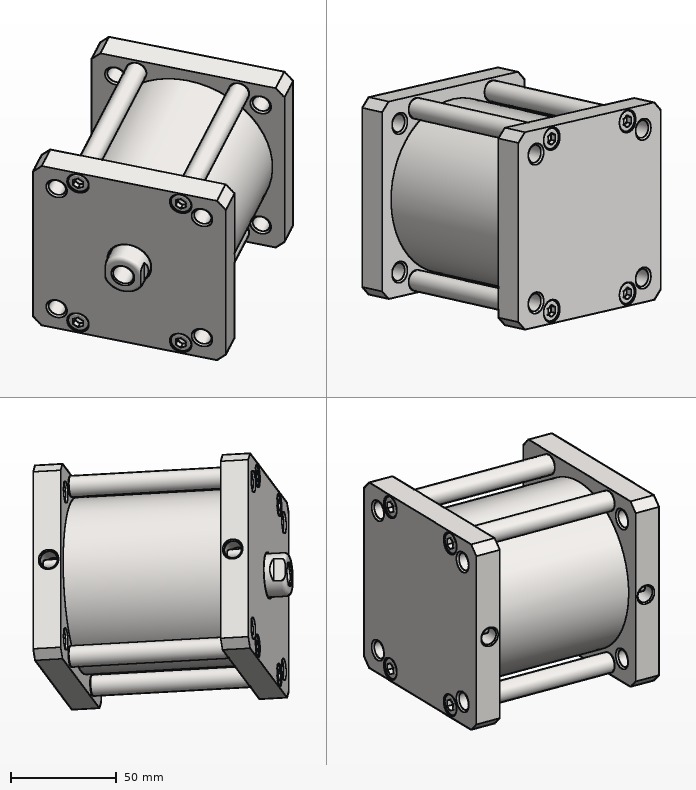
import cadquery as cq
import math

OVERALL_LENGTH = 114
ROD_PROTRUSION = 10.0
PLATE_SIZE = 96.0
PLATE_THICKNESS = 13.3
PLATE_CORNER_CHAMFER = 4.5
REAR_FACE = OVERALL_LENGTH - ROD_PROTRUSION
TUBE_START = PLATE_THICKNESS
TUBE_LENGTH = REAR_FACE - 2 * PLATE_THICKNESS
TUBE_END = TUBE_START + TUBE_LENGTH
MID_PLANE = REAR_FACE / 2

TUBE_DIAMETER = 84.0
TUBE_BORE = 80.0

MOUNTING_OFFSET = 36.1
MOUNTING_DIAMETER = 8.5
MOUNTING_CHAMFER = 0.9

TIE_OFFSET_X = 25.5
TIE_OFFSET_Z = 41.8
TIE_DIAMETER = 10.1
TIE_END_CHAMFER = 0.5
NECK_DIAMETER = 7.0
HEAD_DIAMETER = 10.0
HEAD_HEIGHT = 6.0
HEAD_FILLET = 0.7
HEAD_RECESS_DIAMETER = HEAD_DIAMETER
HEAD_RECESS_CHAMFER = 0.5
HEX_ACROSS_FLATS = 5.0
HEX_DEPTH = 3.0

PORT_DIAMETER = 8.3
PORT_MOUTH_DIAMETER = 9.7
PORT_DEPTH = 12.0
PORT_FROM_INNER_FACE = 5.8
PORT_PIN_DIAMETER = 5.0

ROD_DIAMETER = 20.6
ROD_END_FILLET = 2.0
ROD_FLATS_WIDTH = 17.5
ROD_FLATS_LENGTH = 5.8
ROD_HOLE_DIAMETER = 10.1
ROD_HOLE_DEPTH = 20.0
ROD_HOLE_FLOOR_DISH = 0.5
ROD_HOLE_CHAMFER = 0.7
ROD_RECESS_DIAMETER = 21.3
ROD_RECESS_DEPTH = 2.3
ROD_RECESS_CHAMFER = 0.3

DRILL_HALF_ANGLE = math.radians(59)
SOCKET_HALF_ANGLE = math.radians(60)

MOUNTING_POINTS = [(x * MOUNTING_OFFSET, z * MOUNTING_OFFSET) for x in (-1, 1) for z in (-1, 1)]
TIE_POINTS = [(x * TIE_OFFSET_X, z * TIE_OFFSET_Z) for x in (-1, 1) for z in (-1, 1)]


def cylinder_y(diameter, start, length, x=0, z=0):
    """Cylinder along +Y that begins at Y = start."""
    base = cq.Vector(x, start, z)
    return cq.Workplane(cq.Solid.makeCylinder(diameter / 2, length, base, cq.Vector(0, 1, 0)))


def cone_y(start_diameter, end_diameter, start, length, x=0, z=0):
    """Cone along +Y that begins at Y = start."""
    base = cq.Vector(x, start, z)
    return cq.Workplane(
        cq.Solid.makeCone(start_diameter / 2, end_diameter / 2, length, base, cq.Vector(0, 1, 0))
    )


def mirror_to_rear(body):
    """Mirror image of a body about the plane midway between the plates' outer faces."""
    return body.mirror("XZ", (0, MID_PLANE, 0))


def mounting_hole(x, z):
    """Through hole with a countersink at each plate face."""
    mouth = MOUNTING_DIAMETER + 2 * MOUNTING_CHAMFER
    inner_chamfer_start = PLATE_THICKNESS - MOUNTING_CHAMFER
    hole = cylinder_y(MOUNTING_DIAMETER, 0, PLATE_THICKNESS, x, z)
    hole = hole.union(cone_y(mouth, MOUNTING_DIAMETER, 0, MOUNTING_CHAMFER, x, z))
    return hole.union(cone_y(MOUNTING_DIAMETER, mouth, inner_chamfer_start, MOUNTING_CHAMFER, x, z))


def tie_rod_hole(x, z):
    """Neck hole with a chamfered recess for the socket head."""
    mouth = HEAD_RECESS_DIAMETER + 2 * HEAD_RECESS_CHAMFER
    hole = cylinder_y(NECK_DIAMETER, 0, PLATE_THICKNESS, x, z)
    hole = hole.union(cylinder_y(HEAD_RECESS_DIAMETER, 0, HEAD_HEIGHT, x, z))
    return hole.union(cone_y(mouth, HEAD_RECESS_DIAMETER, 0, HEAD_RECESS_CHAMFER, x, z))


def side_port():
    """Drilled port with a chamfered mouth and a conical floor, crossed by a pin along Y."""
    outer_face = -PLATE_SIZE / 2
    radius = PORT_DIAMETER / 2
    mouth_radius = PORT_MOUTH_DIAMETER / 2
    port_y = PLATE_THICKNESS - PORT_FROM_INNER_FACE
    floor_x = outer_face + PORT_DEPTH
    tip_x = floor_x + radius / math.tan(DRILL_HALF_ANGLE)
    port = (
        cq.Workplane("XY")
        .moveTo(outer_face, 0)
        .lineTo(outer_face, mouth_radius)
        .lineTo(outer_face + mouth_radius - radius, radius)
        .lineTo(floor_x, radius)
        .lineTo(tip_x, 0)
        .close()
        .revolve(360, (0, 0, 0), (1, 0, 0))
        .translate((0, port_y, 0))
    )
    pin_x = floor_x - PORT_PIN_DIAMETER / 2
    pin = cylinder_y(PORT_PIN_DIAMETER, port_y - radius, PORT_DIAMETER, pin_x)
    return port.cut(pin)


def make_plate():
    """End plate in the front position, without the piston rod opening."""
    plate = (
        cq.Workplane("XY")
        .box(PLATE_SIZE, PLATE_THICKNESS, PLATE_SIZE)
        .edges("|Y")
        .chamfer(PLATE_CORNER_CHAMFER)
        .translate((0, PLATE_THICKNESS / 2, 0))
    )
    for x, z in MOUNTING_POINTS:
        plate = plate.cut(mounting_hole(x, z))
    for x, z in TIE_POINTS:
        plate = plate.cut(tie_rod_hole(x, z))
    return plate.cut(side_port())


def make_front_plate():
    """End plate with the piston rod bore and a shallow recess around the rod."""
    rod_bore = cylinder_y(ROD_DIAMETER, 0, PLATE_THICKNESS)
    rod_recess = cylinder_y(ROD_RECESS_DIAMETER, 0, ROD_RECESS_DEPTH)
    mouth = ROD_RECESS_DIAMETER + 2 * ROD_RECESS_CHAMFER
    rod_recess_chamfer = cone_y(mouth, ROD_RECESS_DIAMETER, 0, ROD_RECESS_CHAMFER)
    return make_plate().cut(rod_bore).cut(rod_recess).cut(rod_recess_chamfer)


def make_tube():
    """Cylinder barrel clamped between the plates."""
    return cylinder_y(TUBE_DIAMETER, TUBE_START, TUBE_LENGTH).cut(
        cylinder_y(TUBE_BORE, TUBE_START, TUBE_LENGTH)
    )


def make_tie_head():
    """Socket head flush with the front plate's outer face, with its neck behind it."""
    hex_circumscribed = HEX_ACROSS_FLATS / math.cos(math.pi / 6)
    head = cylinder_y(HEAD_DIAMETER, 0, HEAD_HEIGHT).faces("<Y").edges().fillet(HEAD_FILLET)
    socket = (
        cq.Workplane("XZ")
        .polygon(6, hex_circumscribed)
        .extrude(-HEX_DEPTH)
        .rotate((0, 0, 0), (0, 1, 0), 30)
    )
    tip_length = HEX_ACROSS_FLATS / 2 / math.tan(SOCKET_HALF_ANGLE)
    tip = cone_y(HEX_ACROSS_FLATS, 0, HEX_DEPTH, tip_length)
    neck = cylinder_y(NECK_DIAMETER, HEAD_HEIGHT, PLATE_THICKNESS - HEAD_HEIGHT)
    return head.cut(socket).cut(tip).union(neck)


def make_tie_rod(x, z):
    """Shank between the plates with a neck and socket head at each end."""
    shank = cylinder_y(TIE_DIAMETER, TUBE_START, TUBE_LENGTH).faces("<Y or >Y").chamfer(TIE_END_CHAMFER)
    front_head = make_tie_head()
    rod = shank.union(front_head).union(mirror_to_rear(front_head))
    return rod.translate((x, 0, z))


def wrench_flat_cut():
    """Material removed on the +X side: a flat that runs out in a 45 degree ramp."""
    flat_x = ROD_FLATS_WIDTH / 2
    ramp = ROD_DIAMETER / 2 - flat_x
    tip = -ROD_PROTRUSION
    flat_end = tip + ROD_FLATS_LENGTH
    return (
        cq.Workplane("XY")
        .polyline(
            [
                (flat_x, tip),
                (flat_x, flat_end),
                (flat_x + ramp, flat_end + ramp),
                (flat_x + ramp, tip),
            ]
        )
        .close()
        .extrude(ROD_DIAMETER / 2, both=True)
    )


def make_piston_rod():
    """Rod reaching the rear plate, with a rounded tip, two wrench flats and a blind hole."""
    tip = -ROD_PROTRUSION
    rod = cylinder_y(ROD_DIAMETER, tip, TUBE_END - tip).faces("<Y").edges().fillet(ROD_END_FILLET)
    flat = wrench_flat_cut()
    rod = rod.cut(flat).cut(flat.mirror("YZ"))
    hole_floor = tip + ROD_HOLE_DEPTH
    mouth = ROD_HOLE_DIAMETER + 2 * ROD_HOLE_CHAMFER
    rod = rod.cut(cylinder_y(ROD_HOLE_DIAMETER, tip, ROD_HOLE_DEPTH))
    rod = rod.cut(cone_y(ROD_HOLE_DIAMETER, 0, hole_floor, ROD_HOLE_FLOOR_DISH))
    return rod.cut(cone_y(mouth, ROD_HOLE_DIAMETER, tip, ROD_HOLE_CHAMFER))


front_plate = make_front_plate()
rear_plate = mirror_to_rear(make_plate())
tube = make_tube()
piston_rod = make_piston_rod()
tie_rods = [make_tie_rod(x, z) for x, z in TIE_POINTS]

result = cq.Compound.makeCompound(
    [
        front_plate.val(),
        rear_plate.val(),
        tube.val(),
        piston_rod.val(),
        *[tie_rod.val() for tie_rod in tie_rods],
    ]
)